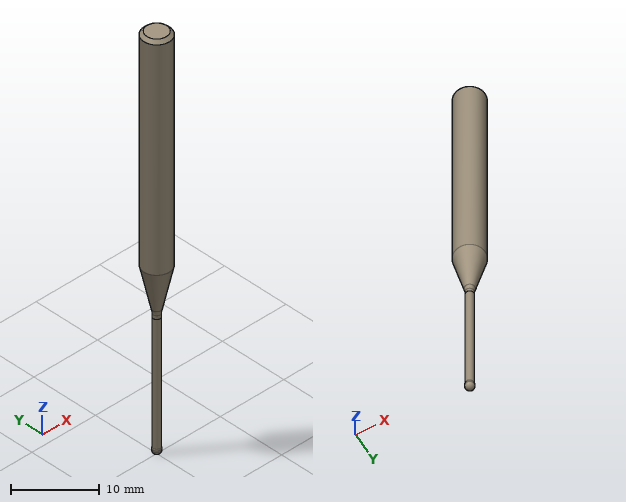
import cadquery as cq

total_length = 60.0
shank_radius = 4.0 / 2
shank_chamfer = 0.5
taper_top = 26.8

taper_bottom = 20.65
taper_bottom_radius = 0.65
neck_top = 20.0
joint_height = 19.45
neck_radius = 0.545

ball_radius = 0.6
relief_bottom = 0.85
relief_top = 1.0


def make_shank():
    """Chamfered shank, its taper, the concave blend and the short collar above the joint."""
    profile = (
        cq.Workplane("XZ")
        .moveTo(0, joint_height)
        .lineTo(neck_radius, joint_height)
        .lineTo(neck_radius, neck_top)
        .tangentArcPoint((taper_bottom_radius, taper_bottom), relative=False)
        .lineTo(shank_radius, taper_top)
        .lineTo(shank_radius, total_length - shank_chamfer)
        .lineTo(shank_radius - shank_chamfer, total_length)
        .lineTo(0, total_length)
        .close()
    )
    return profile.revolve(360, (0, 0), (0, 1))


def make_cutter():
    """Slim neck that widens through a short relief cone to the ball tip."""
    profile = (
        cq.Workplane("XZ")
        .moveTo(0, 0)
        .radiusArc((ball_radius, ball_radius), -ball_radius)
        .lineTo(ball_radius, relief_bottom)
        .lineTo(neck_radius, relief_top)
        .lineTo(neck_radius, joint_height)
        .lineTo(0, joint_height)
        .close()
    )
    return profile.revolve(360, (0, 0), (0, 1))


shank = make_shank()
cutter = make_cutter()
result = cq.Compound.makeCompound([shank.val(), cutter.val()])